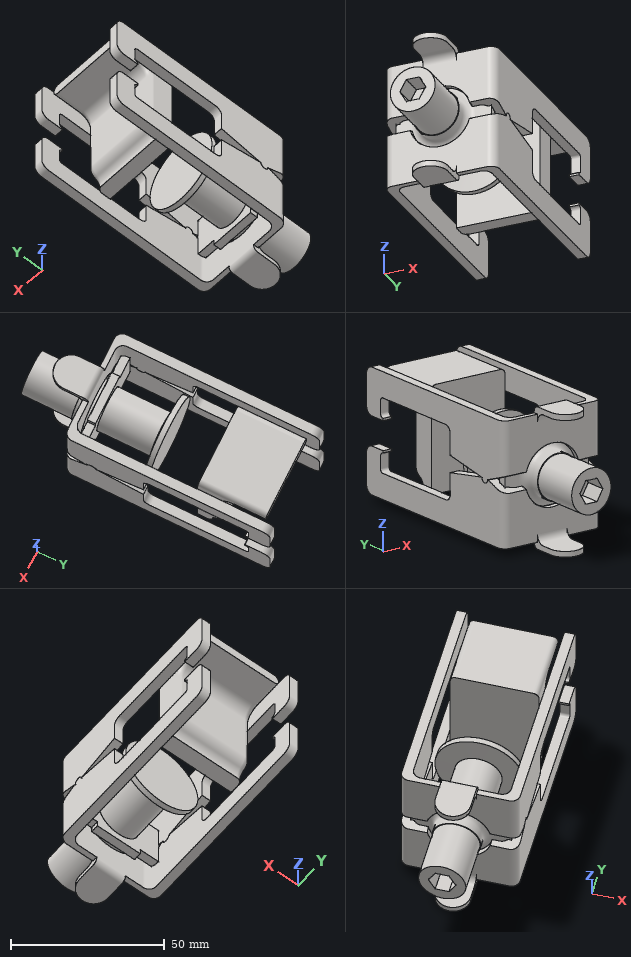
import cadquery as cq
import math


BIG = 192.8

bracket_width = 40.0
overall_length = 96.4
bracket_length = 75.0
bracket_height = 44.0
side_wall = 3.6
front_wall = 2.0
outer_bend_radius = 3.0
inner_bend_radius = 3.0
jaw_corner_radius = 3.0
half_height = bracket_height / 2

window_front_y = 29.0
jaw_thickness = 7.8
window_back_y = bracket_length - jaw_thickness
window_half_height = 12.9
window_front_radius = 2.5
window_back_radius = 1.2
jaw_half_gap = 5.1
lip_length = 1.35
lip_thickness = 0.9

wedge_half_opening = 3.0
front_wedge_tip_y = 8.2
rear_wedge_tip_y = 11.9
pivot_y = 10.0
pivot_radius = 1.5

collar_hole_diameter = 22.0

tab_width = 12.0
tab_thickness = 2.0
tab_reach = 13.1
tab_top_z = 24.5
tab_outer_radius = 2.0
tab_inner_radius = 3.0

nut_front_y = 3.1
nut_thickness = 3.0
nut_body_width = 17.8
nut_arm_height = nut_body_width
nut_arm_span = 34.0
collar_diameter = 16.5
collar_length = 3.0
collar_fillet_radius = 3.0
nut_body_height = collar_diameter + 2 * collar_fillet_radius

screw_diameter = 16.0
screw_front_y = bracket_length - overall_length
screw_back_y = 25.5
neck_diameter = 13.5
disc_diameter = 30.0
disc_front_y = 26.1
disc_rim_y = 26.6
disc_back_y = 28.6
hex_across_flats = 8.0
hex_depth = 8.0

block_width = 30.0
block_front_y = 46.2
block_back_y = 56.0
hook_end_y = 71.0
block_top_z = 21.5
hook_bottom_z = 17.0
toe_start_z = -8.7
toe_outer_radius = 4.05
toe_inner_radius = 3.0
toe_angle = math.radians(65)
block_bottom_z = -16.2
hook_inner_radius = 4.0
block_edge_radius = 2.0


def side_profile():
    """Outline of the upper bracket half in the YZ plane, without the pivot."""
    lip_y = window_back_y - lip_length
    fillet_z = jaw_half_gap + lip_thickness
    return (
        cq.Workplane("YZ")
        .moveTo(0, wedge_half_opening)
        .lineTo(front_wedge_tip_y, 0)
        .lineTo(rear_wedge_tip_y, 0)
        .lineTo(window_front_y, wedge_half_opening)
        .lineTo(window_front_y, window_half_height - window_front_radius)
        .radiusArc((window_front_y + window_front_radius, window_half_height), window_front_radius)
        .lineTo(window_back_y - window_back_radius, window_half_height)
        .radiusArc((window_back_y, window_half_height - window_back_radius), window_back_radius)
        .lineTo(window_back_y, fillet_z + lip_length)
        .radiusArc((lip_y, fillet_z), lip_length)
        .lineTo(lip_y, jaw_half_gap)
        .lineTo(bracket_length - jaw_corner_radius, jaw_half_gap)
        .radiusArc((bracket_length, jaw_half_gap + jaw_corner_radius), -jaw_corner_radius)
        .lineTo(bracket_length, half_height - jaw_corner_radius)
        .radiusArc((bracket_length - jaw_corner_radius, half_height), -jaw_corner_radius)
        .lineTo(0, half_height)
        .close()
        .extrude(bracket_width / 2, both=True)
    )


def u_section():
    """The U-shaped plan of the bracket, extruded over its full height."""
    outside = (
        cq.Workplane("XY")
        .box(bracket_width, bracket_length, bracket_height, centered=(True, False, True))
        .edges("|Z and <Y")
        .fillet(outer_bend_radius)
    )
    inside = (
        cq.Workplane("XY")
        .box(bracket_width - 2 * side_wall, BIG, BIG, centered=(True, False, True))
        .translate((0, front_wall, 0))
        .edges("|Z and <Y")
        .fillet(inner_bend_radius)
    )
    return outside.cut(inside)


def tab():
    """Tab that bends forward out of the top of the front wall and ends in a half round."""
    tab_bottom_z = tab_top_z - tab_thickness
    strip = (
        cq.Workplane("YZ")
        .moveTo(0, tab_bottom_z - tab_inner_radius)
        .lineTo(front_wall, tab_bottom_z - tab_inner_radius)
        .lineTo(front_wall, tab_top_z - tab_outer_radius)
        .radiusArc((front_wall - tab_outer_radius, tab_top_z), -tab_outer_radius)
        .lineTo(-tab_reach, tab_top_z)
        .lineTo(-tab_reach, tab_bottom_z)
        .lineTo(-tab_inner_radius, tab_bottom_z)
        .radiusArc((0, tab_bottom_z - tab_inner_radius), tab_inner_radius)
        .close()
        .extrude(tab_width / 2, both=True)
    )
    end_radius = tab_width / 2
    outline = (
        cq.Workplane("XY")
        .moveTo(end_radius, front_wall)
        .lineTo(end_radius, end_radius - tab_reach)
        .threePointArc((0, -tab_reach), (-end_radius, end_radius - tab_reach))
        .lineTo(-end_radius, front_wall)
        .close()
        .extrude(BIG)
    )
    return strip.intersect(outline)


def pivot_pin(side):
    """Full round of the pivot through one side wall; side is -1 or +1."""
    wall_center = side * (bracket_width - side_wall) / 2
    return (
        cq.Workplane("YZ", origin=(wall_center, 0, 0))
        .center(pivot_y, 0)
        .circle(pivot_radius)
        .extrude(side_wall / 2, both=True)
    )


def nut_arms():
    """Bar across the nut whose ends sit in recesses of the bracket side walls."""
    return cq.Workplane("XY").box(
        nut_arm_span, nut_thickness, nut_arm_height, centered=(True, False, True)
    ).translate((0, nut_front_y, 0))


def upper_bracket():
    """Half with a pivot nub on its -X wall and the matching socket in its +X wall."""
    collar_hole = cq.Workplane("XZ").circle(collar_hole_diameter / 2).extrude(-front_wall)
    return (
        side_profile()
        .intersect(u_section())
        .cut(collar_hole)
        .cut(nut_arms())
        .union(tab())
        .union(pivot_pin(-1))
        .cut(pivot_pin(1))
    )


def trunnion_nut():
    """Cross-shaped plate with a collar that flares into it."""
    body = cq.Workplane("XY").box(
        nut_body_width, nut_thickness, nut_body_height, centered=(True, False, True)
    ).translate((0, nut_front_y, 0))
    collar_radius = collar_diameter / 2
    flare_radius = collar_radius + collar_fillet_radius
    collar = (
        cq.Workplane("XY")
        .moveTo(0, -collar_length)
        .lineTo(collar_radius, -collar_length)
        .lineTo(collar_radius, nut_front_y - collar_fillet_radius)
        .radiusArc((flare_radius, nut_front_y), collar_fillet_radius)
        .lineTo(0, nut_front_y)
        .close()
        .revolve(360, (0, 0, 0), (0, 1, 0))
    )
    bore = cq.Workplane("XZ").circle(screw_diameter / 2).extrude(BIG / 2, both=True)
    return body.union(nut_arms()).union(collar).cut(bore)


def clamping_screw():
    """Shank, neck and dished pressure disc turned in one piece, with a hexagon socket."""
    turned = (
        cq.Workplane("XY")
        .moveTo(0, screw_front_y)
        .lineTo(screw_diameter / 2, screw_front_y)
        .lineTo(screw_diameter / 2, screw_back_y)
        .lineTo(neck_diameter / 2, screw_back_y)
        .lineTo(neck_diameter / 2, disc_front_y)
        .lineTo(disc_diameter / 2, disc_rim_y)
        .lineTo(disc_diameter / 2, disc_back_y)
        .lineTo(0, disc_back_y)
        .close()
        .revolve(360, (0, 0, 0), (0, 1, 0))
    )
    hex_socket = (
        cq.Workplane("XZ", origin=(0, screw_front_y, 0))
        .polygon(6, hex_across_flats / math.cos(math.pi / 6))
        .extrude(-hex_depth)
    )
    return turned.cut(hex_socket)


def clamping_block():
    """Hook over a straight back that curves into a narrower toe; its end edges are rounded."""
    rise_factor = math.sin(toe_angle)
    run_factor = 1 - math.cos(toe_angle)
    bend_y = block_back_y - toe_outer_radius * run_factor
    bend_z = toe_start_z - toe_outer_radius * rise_factor
    toe_y = bend_y - toe_inner_radius * run_factor
    toe_z = bend_z - toe_inner_radius * rise_factor
    profile = (
        cq.Workplane("YZ")
        .moveTo(block_front_y, block_top_z)
        .lineTo(hook_end_y, block_top_z)
        .lineTo(hook_end_y, hook_bottom_z)
        .lineTo(block_back_y + hook_inner_radius, hook_bottom_z)
        .radiusArc((block_back_y, hook_bottom_z - hook_inner_radius), -hook_inner_radius)
        .lineTo(block_back_y, toe_start_z)
        .radiusArc((bend_y, bend_z), toe_outer_radius)
        .radiusArc((toe_y, toe_z), -toe_inner_radius)
        .lineTo(toe_y, block_bottom_z)
        .lineTo(block_front_y, block_bottom_z)
        .close()
    )
    block = profile.extrude(block_width / 2, both=True)
    end_outlines = block.faces("<X or >X").edges("not (>Y or <Y or <Z)")
    return end_outlines.fillet(block_edge_radius)


bracket_half = upper_bracket()
bracket_halves = []
for turn in (0, 180):
    bracket_halves.append(bracket_half.rotate((0, 0, 0), (0, 1, 0), turn).val())
nut = trunnion_nut()
screw = clamping_screw()
block = clamping_block()

result = cq.Compound.makeCompound([*bracket_halves, nut.val(), screw.val(), block.val()])